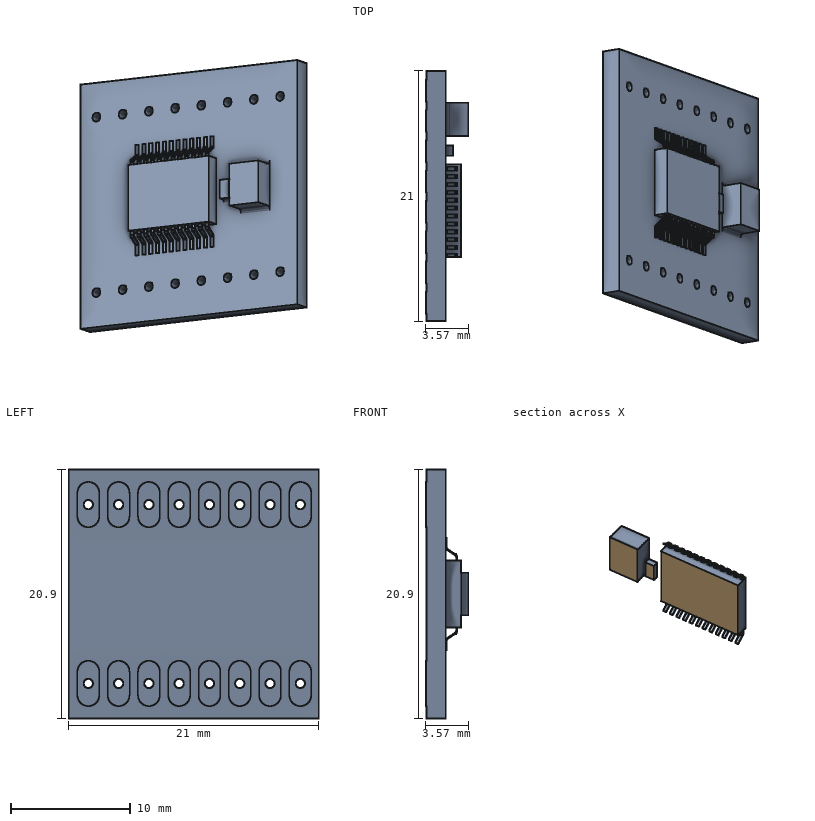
import cadquery as cq
import math

BOARD_THICKNESS = 1.635
BOARD_WIDTH_Y = 20.98
BOARD_HEIGHT_Z = 20.9

PAD_THICKNESS = 0.035
PAD_LENGTH = 3.8
PAD_WIDTH = 1.83
PAD_PITCH = 2.54
PADS_PER_ROW = 8
PAD_ROW_Z = 7.5
PAD_ROW_CENTER_Y = -0.055
PAD_HOLE_DIAMETER = 0.76

CHIP_LENGTH_Y = 7.8
CHIP_WIDTH_Z = 5.63
CHIP_HEIGHT = 1.28
CHIP_CENTER_Y = -1.23

LEADS_PER_SIDE = 12
LEAD_PITCH = 0.66
LEAD_WIDTH = 0.3
LEAD_ROW_CENTER_Y = -1.345
LEAD_FOOT_THICKNESS = 0.09
LEAD_RISER_THICKNESS = 0.1
LEAD_TIP_Z = 4.73
LEAD_HEEL_Z = 3.79
LEAD_HEEL_HEIGHT = 0.12
LEAD_SHOULDER_Z = 3.36
LEAD_RISER_TOP_HEIGHT = 0.76
LEAD_SHOULDER_HEIGHT = 0.87
LEAD_EXIT_Z = 3.18
LEAD_EXIT_HEIGHT = 0.95
LEAD_EXIT_THICKNESS = 0.09
LEAD_EMBED = 0.2

TALL_LENGTH_Z = 3.57
TALL_WIDTH_Y = 2.8
TALL_HEIGHT = 1.9
TALL_CENTER_Y = 6.43
TALL_FILLET_RADIUS = 0.3

SMALL_LENGTH_Z = 1.6
SMALL_WIDTH_Y = 0.87
SMALL_HEIGHT = 0.62
SMALL_CENTER_Y = 3.81
SMALL_FILLET_RADIUS = 0.15


def extruded_along_y(profile, center_y, width):
    """Extrude an (x, z) outline symmetrically about center_y; x is measured from the board's +X face."""
    points = [(BOARD_THICKNESS + x, z) for x, z in profile]
    plane = cq.Workplane("XZ", origin=(0, center_y, 0))
    return plane.polyline(points).close().extrude(width / 2, both=True)


def make_board():
    return cq.Workplane("XY").box(
        BOARD_THICKNESS, BOARD_WIDTH_Y, BOARD_HEIGHT_Z, centered=(False, True, True)
    )


def pad_centers():
    first_y = PAD_ROW_CENTER_Y - PAD_PITCH * (PADS_PER_ROW - 1) / 2
    return [
        (first_y + i * PAD_PITCH, z)
        for z in (-PAD_ROW_Z, PAD_ROW_Z)
        for i in range(PADS_PER_ROW)
    ]


def make_pads():
    plane = cq.Workplane("YZ").pushPoints(pad_centers())
    return plane.slot2D(PAD_LENGTH, PAD_WIDTH, 90).extrude(-PAD_THICKNESS)


def make_pad_holes():
    plane = cq.Workplane("YZ", origin=(-PAD_THICKNESS, 0, 0)).pushPoints(pad_centers())
    return plane.circle(PAD_HOLE_DIAMETER / 2).extrude(PAD_THICKNESS + BOARD_THICKNESS)


def make_chip_body():
    half = CHIP_WIDTH_Z / 2
    profile = [(0, -half), (CHIP_HEIGHT, -half), (CHIP_HEIGHT, half), (0, half)]
    return extruded_along_y(profile, CHIP_CENTER_Y, CHIP_LENGTH_Y)


def make_lead(center_y, side):
    """One gull-wing lead: flat foot, sloped riser, then a short run into the chip; side is +1 or -1."""
    root_z = CHIP_WIDTH_Z / 2 - LEAD_EMBED
    exit_underside = LEAD_EXIT_HEIGHT - LEAD_EXIT_THICKNESS
    profile = [
        (0, LEAD_TIP_Z),
        (LEAD_FOOT_THICKNESS, LEAD_TIP_Z),
        (LEAD_FOOT_THICKNESS, LEAD_HEEL_Z + LEAD_FOOT_THICKNESS),
        (LEAD_HEEL_HEIGHT, LEAD_HEEL_Z),
        (LEAD_RISER_TOP_HEIGHT, LEAD_SHOULDER_Z),
        (LEAD_SHOULDER_HEIGHT, LEAD_SHOULDER_Z),
        (LEAD_EXIT_HEIGHT, LEAD_EXIT_Z),
        (LEAD_EXIT_HEIGHT, root_z),
        (exit_underside, root_z),
        (exit_underside, LEAD_EXIT_Z - LEAD_EXIT_THICKNESS),
        (LEAD_RISER_TOP_HEIGHT, LEAD_SHOULDER_Z - LEAD_RISER_THICKNESS),
        (LEAD_HEEL_HEIGHT, LEAD_HEEL_Z - LEAD_RISER_THICKNESS),
        (0, LEAD_HEEL_Z),
    ]
    mirrored = [(x, side * z) for x, z in profile]
    return extruded_along_y(mirrored, center_y, LEAD_WIDTH)


def make_leads():
    first_y = LEAD_ROW_CENTER_Y - LEAD_PITCH * (LEADS_PER_SIDE - 1) / 2
    return [
        make_lead(first_y + i * LEAD_PITCH, side)
        for side in (-1, 1)
        for i in range(LEADS_PER_SIDE)
    ]


def make_soldered_block(center_y, width, length, height, fillet):
    """A block with a concave quarter-round solder fillet of the given radius at each Z end."""
    half = length / 2
    foot = half + fillet
    face = BOARD_THICKNESS
    arc_inset = fillet * (1 - math.sqrt(0.5))
    profile = (
        cq.Workplane("XZ", origin=(0, center_y, 0))
        .moveTo(face, -foot)
        .threePointArc((face + arc_inset, -half - arc_inset), (face + fillet, -half))
        .lineTo(face + height, -half)
        .lineTo(face + height, half)
        .lineTo(face + fillet, half)
        .threePointArc((face + arc_inset, half + arc_inset), (face, foot))
        .close()
    )
    return profile.extrude(width / 2, both=True)


result = make_board().union(make_pads()).cut(make_pad_holes()).union(make_chip_body())
for lead in make_leads():
    result = result.union(lead)
result = result.union(
    make_soldered_block(TALL_CENTER_Y, TALL_WIDTH_Y, TALL_LENGTH_Z, TALL_HEIGHT, TALL_FILLET_RADIUS)
)
result = result.union(
    make_soldered_block(SMALL_CENTER_Y, SMALL_WIDTH_Y, SMALL_LENGTH_Z, SMALL_HEIGHT, SMALL_FILLET_RADIUS)
)